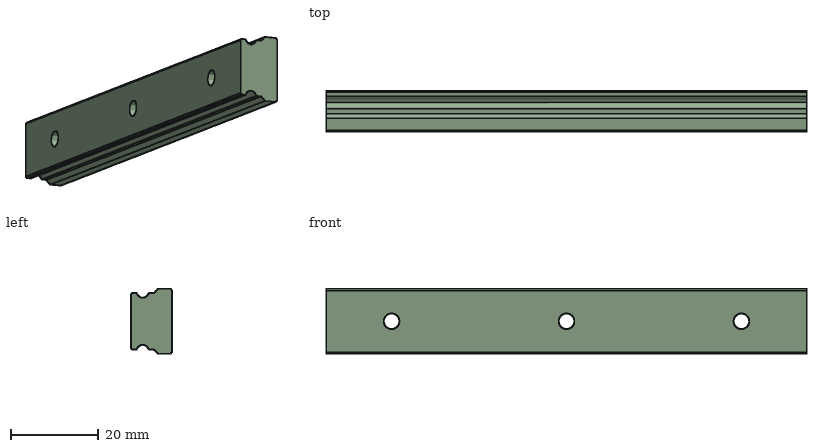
import cadquery as cq

length = 110.0
height = 9.5
base_width = 15.0

base_chamfer = 0.4
head_chamfer = 0.3
shoulder_depth = 3.2
ledge_depth = 4.2
groove_near_depth = 5.5
groove_chamfer = 0.2
groove_far_depth = 8.1
groove_middle_depth = 6.8
waist_inset = 1.0
groove_sink = 1.1
groove_bulge = 0.2

hole_diameter = 3.5
hole_pitch = 40.0
hole_count = 3

half_base = base_width / 2
half_head = half_base - waist_inset
groove_floor = half_head - groove_sink
mounting_face = -height / 2


def flank_middle(start, end):
    """Midpoint of a groove flank, bowed into the rail from the chord."""
    run = end[0] - start[0]
    rise = end[1] - start[1]
    chord = (run ** 2 + rise ** 2) ** 0.5
    return (
        (start[0] + end[0]) / 2 + groove_bulge * rise / chord,
        (start[1] + end[1]) / 2 - groove_bulge * run / chord,
    )


def half_profile():
    """Upper half of the rail section in the YZ plane, closed along its axis."""
    near = (mounting_face + groove_near_depth, half_head - groove_chamfer)
    bottom = (mounting_face + groove_middle_depth, groove_floor)
    far = (mounting_face + groove_far_depth, half_head)
    return (
        cq.Workplane("YZ")
        .moveTo(mounting_face, 0)
        .lineTo(mounting_face, half_base - base_chamfer)
        .lineTo(mounting_face + base_chamfer, half_base)
        .lineTo(mounting_face + shoulder_depth, half_base)
        .lineTo(mounting_face + ledge_depth, half_head)
        .lineTo(near[0] - groove_chamfer, half_head)
        .lineTo(*near)
        .threePointArc(flank_middle(near, bottom), bottom)
        .threePointArc(flank_middle(bottom, far), far)
        .lineTo(-mounting_face - head_chamfer, half_head)
        .lineTo(-mounting_face, half_head - head_chamfer)
        .lineTo(-mounting_face, 0)
        .close()
    )


def make_rail():
    """Full-length rail, symmetric about the XY plane."""
    upper_half = half_profile().extrude(length / 2, both=True)
    return upper_half.union(upper_half.mirror("XY")).clean()


def mounting_holes():
    """Evenly spaced cylinders running through the rail along Y."""
    return (
        cq.Workplane("XZ")
        .rarray(hole_pitch, 1.1, hole_count, 1)
        .circle(hole_diameter / 2)
        .extrude(height, both=True)
    )


result = make_rail().cut(mounting_holes())